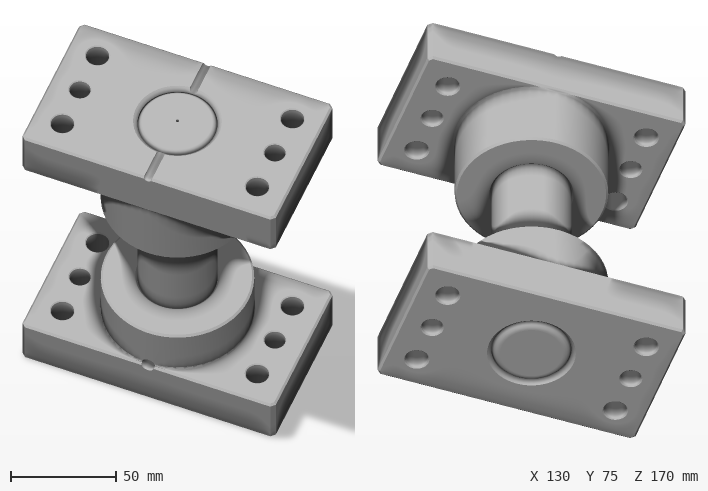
import cadquery as cq

TOTAL_HEIGHT = 170.0

PLATE_LENGTH = 130.0
PLATE_WIDTH = 75.0
PLATE_THICKNESS = 25.0
EDGE_CHAMFER = 1.0
CORNER_CHAMFER = 2.0

BOSS_DIAMETER = 73.0
UPPER_BOSS_HEIGHT = 35.0
LOWER_BOSS_HEIGHT = 25.0
BOSS_CHAMFER = 1.0
BOSS_FILLET = 1.0

PILLAR_DIAMETER = 38.1
PILLAR_END_FILLET = 4.0
PLATE_MOUTH_CHAMFER = 2.0
BOSS_MOUTH_CHAMFER = 1.0
CENTRE_HOLE_DIAMETER = 1.5
CENTRE_HOLE_DEPTH = 2.0

HOLE_ROW_SPACING = 100.0
SCREW_HOLE_SPACING = 44.0
SCREW_HOLE_DIAMETER = 11.0
DOWEL_HOLE_DIAMETER = 10.0
HOLE_CHAMFER = 0.5

GROOVE_DIAMETER = 4.0
RADIAL_HOLE_DIAMETER = 6.6


def make_plate(boss_height):
    """Bored plate lying on Z = 0, with its boss standing on the top face."""
    plate = (
        cq.Workplane("XY")
        .box(PLATE_LENGTH, PLATE_WIDTH, PLATE_THICKNESS, centered=(True, True, False))
        .edges("|Z")
        .chamfer(CORNER_CHAMFER)
        .faces("<Z or >Z")
        .edges()
        .chamfer(EDGE_CHAMFER)
    )
    plate = plate.union(make_boss(boss_height))
    plate = plate.cut(make_bore(PLATE_THICKNESS + boss_height))
    return plate.cut(make_plate_holes())


def make_boss(height):
    """Chamfered boss whose base fillet stops at the flat of the plate's top face."""
    radius = BOSS_DIAMETER / 2
    top = PLATE_THICKNESS + height
    boss = (
        cq.Workplane("XZ")
        .moveTo(0, PLATE_THICKNESS)
        .lineTo(radius + BOSS_FILLET, PLATE_THICKNESS)
        .radiusArc((radius, PLATE_THICKNESS + BOSS_FILLET), BOSS_FILLET)
        .lineTo(radius, top - BOSS_CHAMFER)
        .lineTo(radius - BOSS_CHAMFER, top)
        .lineTo(0, top)
        .close()
        .revolve(360, (0, 0, 0), (0, 1, 0))
    )
    flat = cq.Workplane("XY").box(
        PLATE_LENGTH - 2 * EDGE_CHAMFER,
        PLATE_WIDTH - 2 * EDGE_CHAMFER,
        top,
        centered=(True, True, False),
    )
    return boss.intersect(flat)


def make_bore(length):
    """Cutter for a through bore, chamfered at its plate mouth and its boss mouth."""
    return make_chamfered_hole(PILLAR_DIAMETER, length, PLATE_MOUTH_CHAMFER, BOSS_MOUTH_CHAMFER)


def make_chamfered_hole(diameter, length, lower_chamfer, upper_chamfer):
    """Cutter from Z = 0 up to the length, widened by a chamfer at each end."""
    radius = diameter / 2
    return (
        cq.Workplane("XZ")
        .polyline(
            [
                (0, 0),
                (radius + lower_chamfer, 0),
                (radius, lower_chamfer),
                (radius, length - upper_chamfer),
                (radius + upper_chamfer, length),
                (0, length),
            ]
        )
        .close()
        .revolve(360, (0, 0, 0), (0, 1, 0))
    )


def make_plate_hole(diameter):
    """Cutter for one hole through the plate with equal chamfers."""
    return make_chamfered_hole(diameter, PLATE_THICKNESS, HOLE_CHAMFER, HOLE_CHAMFER)


def make_plate_holes():
    """Cutters for the screw and dowel holes near both ends of the plate."""
    screw_hole = make_plate_hole(SCREW_HOLE_DIAMETER)
    dowel_hole = make_plate_hole(DOWEL_HOLE_DIAMETER)
    cutters = cq.Workplane("XY")
    for x in (-HOLE_ROW_SPACING / 2, HOLE_ROW_SPACING / 2):
        cutters = cutters.add(dowel_hole.translate((x, 0, 0)))
        for y in (-SCREW_HOLE_SPACING / 2, SCREW_HOLE_SPACING / 2):
            cutters = cutters.add(screw_hole.translate((x, y, 0)))
    return cutters.combine()


def make_lower_plate():
    """Lower plate with a radial hole from its front side into the bore."""
    plate = make_plate(LOWER_BOSS_HEIGHT)
    radial_hole = (
        cq.Workplane("XZ", origin=(0, 0, PLATE_THICKNESS))
        .circle(RADIAL_HOLE_DIAMETER / 2)
        .extrude(PLATE_WIDTH / 2)
    )
    return plate.cut(radial_hole)


def make_upper_plate():
    """Upper plate, boss downward, with a round groove across its outer face."""
    plate = make_plate(UPPER_BOSS_HEIGHT).rotate((0, 0, 0), (1, 0, 0), 180)
    radius = GROOVE_DIAMETER / 2
    groove = (
        cq.Workplane("XZ", origin=(0, PLATE_WIDTH / 2, 0))
        .moveTo(-radius, 0)
        .threePointArc((0, -radius), (radius, 0))
        .lineTo(radius, radius)
        .lineTo(-radius, radius)
        .close()
        .extrude(PLATE_WIDTH)
    )
    return plate.cut(groove).translate((0, 0, TOTAL_HEIGHT))


def make_pillar():
    """Pillar over the full height, round-edged at both ends, centre hole on top."""
    return (
        cq.Workplane("XY")
        .circle(PILLAR_DIAMETER / 2)
        .extrude(TOTAL_HEIGHT)
        .faces("<Z or >Z")
        .edges()
        .fillet(PILLAR_END_FILLET)
        .faces(">Z")
        .workplane()
        .hole(CENTRE_HOLE_DIAMETER, CENTRE_HOLE_DEPTH)
    )


lower_plate = make_lower_plate().solids()
upper_plate = make_upper_plate().solids()
pillar = make_pillar().solids()

result = cq.Compound.makeCompound([lower_plate.val(), upper_plate.val(), pillar.val()])